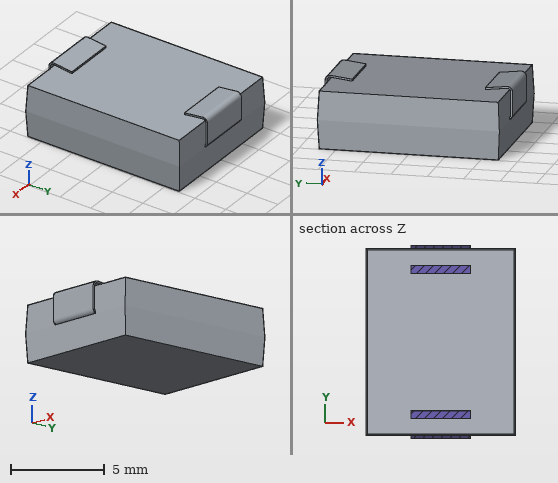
import cadquery as cq
import math

body_width = 8.0
body_length = 10.0
body_height = 3.2
draft_angle = 3.0

overall_length = 10.3
overall_height = 3.46
terminal_width = 3.2
terminal_thickness = 0.1
outer_bend_radius = 0.3
tab_reach = 1.49
tab_slope = 7.0

half_height = body_height / 2
inner_bend_radius = outer_bend_radius - terminal_thickness
terminal_top = overall_height - half_height
bend_y = overall_length / 2 - outer_bend_radius
upper_bend_z = terminal_top - outer_bend_radius
lower_bend_z = outer_bend_radius
tab_end_y = overall_length / 2 - tab_reach


def body_half(direction):
    """Half of the body, tapering away from the parting plane."""
    return (
        cq.Workplane("XY")
        .rect(body_width, body_length)
        .extrude(direction * half_height, taper=draft_angle)
    )


def bend_point(center_z, radius, degrees):
    """Point (Y, Z) on a bend, with the angle measured from +Y."""
    angle = math.radians(degrees)
    return bend_y + radius * math.cos(angle), center_z + radius * math.sin(angle)


def tab_end(radius):
    """End of the sloping tab on the surface tangent to a bend of this radius."""
    start_y, start_z = bend_point(upper_bend_z, radius, tab_angle)
    drop = (start_y - tab_end_y) * math.tan(math.radians(tab_slope))
    return tab_end_y, start_z - drop


tab_angle = 90 + tab_slope
upper_middle = tab_angle / 2
lower_middle = -45


def terminal():
    """Strip hooked into the +Y side, rising and folding over the top."""
    outer = outer_bend_radius
    inner = inner_bend_radius
    return (
        cq.Workplane("YZ")
        .moveTo(*bend_point(lower_bend_z, outer, -90))
        .threePointArc(bend_point(lower_bend_z, outer, lower_middle), bend_point(lower_bend_z, outer, 0))
        .lineTo(*bend_point(upper_bend_z, outer, 0))
        .threePointArc(
            bend_point(upper_bend_z, outer, upper_middle), bend_point(upper_bend_z, outer, tab_angle)
        )
        .lineTo(*tab_end(outer))
        .lineTo(*tab_end(inner))
        .lineTo(*bend_point(upper_bend_z, inner, tab_angle))
        .threePointArc(
            bend_point(upper_bend_z, inner, upper_middle), bend_point(upper_bend_z, inner, 0)
        )
        .lineTo(*bend_point(lower_bend_z, inner, 0))
        .threePointArc(bend_point(lower_bend_z, inner, lower_middle), bend_point(lower_bend_z, inner, -90))
        .close()
        .extrude(terminal_width / 2, both=True)
    )


rear_terminal = terminal()
front_terminal = rear_terminal.mirror("XZ")
result = body_half(1).union(body_half(-1)).union(rear_terminal).union(front_terminal)